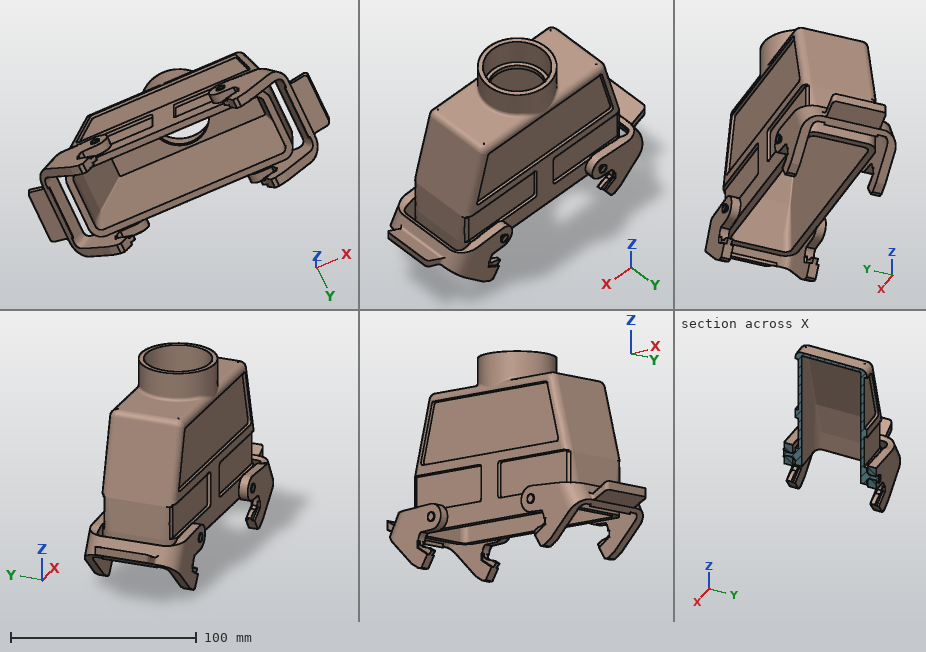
import cadquery as cq
import math

HOOD_WIDTH = 43.0
BASE_HALF_LENGTH = 60.0
SHOULDER_HALF_LENGTH = 58.4
TOP_HALF_LENGTH = 46.3
TAPER_START_Z = 11.5
SHOULDER_Z = 30.3
HOOD_TOP_Z = 75.8
BASE_CORNER_RADIUS = 7.6
UPPER_CORNER_RADIUS = 4.1
TOP_EDGE_RADIUS = 4.1
SIDE_WALL = 4.0
ROOF_WALL = 2.5
MIN_INNER_RADIUS = 0.8

COLLAR_DIAMETER = 42.5
COLLAR_TOP_Z = 91.7
COLLAR_BORE_DIAMETER = 37.0
CABLE_HOLE_DIAMETER = 32.0
COLLAR_BLEND_RADIUS = 1.8

PANEL_DEPTH = 1.6
PANEL_CORNER_RADIUS = 1.6
PANEL_WALL_DRAFT = 14.0
PANEL_BEVEL_X = 55.9
PANEL_BEVEL_DEPTH = 1.6
UPPER_PANEL_TOP_Z = 70.7
UPPER_PANEL_BOTTOM_Z = 36.8
UPPER_PANEL_TOP_HALF = 42.7
UPPER_PANEL_BOTTOM_HALF = 51.6
LOWER_PANEL_TOP_Z = 31.5
LOWER_PANEL_BOTTOM_Z = 11.2
LOWER_PANEL_INNER_X = 6.3

PIVOT_X = 37.1
PIVOT_Z = 6.0
STUD_SPAN = 57.2
STUD_BASE_DIAMETER = 6.0
STUD_BASE_LENGTH = 1.3
SHANK_DIAMETER = 3.0
STUD_HEAD_DIAMETER = 5.1
HEAD_RIM = 0.41
HEAD_CONE = 1.5
HEAD_CHAMFER = 0.25

LEVER_WIDTH = 55.2
LEVER_OFFSET_Y = -0.55
ARM_THICKNESS = 5.3
WEB_THICKNESS = 3.1
BEND_OUTER_RADIUS = 9.7
BEND_INNER_WIDTH = BEND_OUTER_RADIUS - ARM_THICKNESS
BEND_SECTIONS = 7
EYE_RADIUS = 7.1
STRAP_TOP_X = -67.6
STRAP_TOP_Z = 11.5
WEB_FOOT = (-72.7, 2.1)
WEB_RUN = STRAP_TOP_X - WEB_FOOT[0]
WEB_DROP = STRAP_TOP_Z - WEB_FOOT[1]
HEEL = (-52.0, -17.8)
LEVER_BOTTOM_Z = -21.0
HOOK_STEP_DEPTH = 1.3

TAB_END_X = -82.5
TAB_END_TOP_Z = 11.5
TAB_END_BOTTOM_Z = 6.8
TAB_WIDTH = 31.2
TAB_CORNER_RADIUS = 2.0
TAB_ROOT_RADIUS = 1.5
TRIM_HEIGHT = 8.2
STRAP_LENGTH = 66.0

HOOK_ROOT = (-44.7, -1.5)
THROAT_BULGE = (-46.7, -4.6)
THROAT_END = (-46.3, -8.2)
LIP_START = (-44.3, -9.5)
LIP_CREST = (-41.2, -10.2)
LIP_TIP = (-37.8, -12.2)
LIP_BACK = (-40.0, -14.3)
TOE_CORNER = (-44.3, LEVER_BOTTOM_Z)
TOE_HEEL = (-46.8, LEVER_BOTTOM_Z)
STEP_TOP = (-47.6, -6.0)
STEP_CORNER = (-47.6, -9.5)

SIDES = (-1, 1)


def hood_block(inset, roof_z):
    """Tapered hood shape with its sides moved inwards by inset, cut off at roof_z."""
    taper = (SHOULDER_HALF_LENGTH - TOP_HALF_LENGTH) / (HOOD_TOP_Z - SHOULDER_Z)
    roof_half_length = SHOULDER_HALF_LENGTH - taper * (roof_z - SHOULDER_Z)
    levels = [
        (0, BASE_HALF_LENGTH, BASE_CORNER_RADIUS),
        (TAPER_START_Z, BASE_HALF_LENGTH, BASE_CORNER_RADIUS),
        (SHOULDER_Z, SHOULDER_HALF_LENGTH, UPPER_CORNER_RADIUS),
        (roof_z, roof_half_length, UPPER_CORNER_RADIUS),
    ]
    sections = []
    for z, half_length, radius in levels:
        section = (
            cq.Sketch()
            .rect(2 * (half_length - inset), HOOD_WIDTH - 2 * inset)
            .vertices()
            .fillet(max(radius - inset, MIN_INNER_RADIUS))
        )
        sections.append(section.moved(cq.Location(cq.Vector(0, 0, z))))
    return cq.Workplane("XY").placeSketch(*sections).loft(ruled=True)


def cylinder(diameter, bottom_z, top_z):
    """Vertical cylinder on the hood axis."""
    return cq.Workplane("XY", origin=(0, 0, bottom_z)).circle(diameter / 2).extrude(top_z - bottom_z)


def hood_with_collar():
    """Solid hood and collar, blended into each other."""
    block = hood_block(0, HOOD_TOP_Z).faces(">Z").edges().fillet(TOP_EDGE_RADIUS)
    collar_foot_z = HOOD_TOP_Z - TOP_EDGE_RADIUS
    joined = block.union(cylinder(COLLAR_DIAMETER, collar_foot_z, COLLAR_TOP_Z))
    reach = COLLAR_DIAMETER / 2 + COLLAR_BLEND_RADIUS
    around_foot = cq.selectors.BoxSelector(
        (-reach, -reach, collar_foot_z),
        (reach, reach, HOOD_TOP_Z + COLLAR_BLEND_RADIUS),
        boundingbox=True,
    )
    return joined.edges(around_foot).fillet(COLLAR_BLEND_RADIUS)


def side_plane(side):
    """XZ plane on a long side of the hood; extruding by a positive length goes towards -Y."""
    return cq.Workplane("XZ", origin=(0, side * HOOD_WIDTH / 2, 0))


def sink_panel(outline, side):
    """Recess with drafted walls and rounded corners, from an outline on a long side."""
    recess = outline.extrude(side * PANEL_DEPTH, taper=PANEL_WALL_DRAFT)
    return recess.edges("not(<Y or >Y)").fillet(PANEL_CORNER_RADIUS)


def upper_panel(side):
    """Trapezoid recess whose slanted edges follow the end tapers of the hood."""
    outline = [
        (-UPPER_PANEL_BOTTOM_HALF, UPPER_PANEL_BOTTOM_Z),
        (UPPER_PANEL_BOTTOM_HALF, UPPER_PANEL_BOTTOM_Z),
        (UPPER_PANEL_TOP_HALF, UPPER_PANEL_TOP_Z),
        (-UPPER_PANEL_TOP_HALF, UPPER_PANEL_TOP_Z),
    ]
    return sink_panel(side_plane(side).polyline(outline).close(), side)


def lower_panel(side, end):
    """Rectangular recess that runs out through one end of the hood."""
    length = BASE_HALF_LENGTH + 2 * PANEL_CORNER_RADIUS - LOWER_PANEL_INNER_X
    height = LOWER_PANEL_TOP_Z - LOWER_PANEL_BOTTOM_Z
    middle_x = end * (LOWER_PANEL_INNER_X + length / 2)
    middle_z = (LOWER_PANEL_TOP_Z + LOWER_PANEL_BOTTOM_Z) / 2
    return sink_panel(side_plane(side).center(middle_x, middle_z).rect(length, height), side)


def panel_bevel(side, end):
    """Upright wedge that slopes the floor of a lower panel into the hood corner."""
    floor_y = HOOD_WIDTH / 2 - PANEL_DEPTH
    outline = [
        (end * PANEL_BEVEL_X, side * floor_y),
        (end * BASE_HALF_LENGTH, side * floor_y),
        (end * BASE_HALF_LENGTH, side * (floor_y - PANEL_BEVEL_DEPTH)),
    ]
    return (
        cq.Workplane("XY", origin=(0, 0, TAPER_START_Z))
        .polyline(outline)
        .close()
        .extrude(SHOULDER_Z - TAPER_START_Z)
    )


def pivot_stud(end, side):
    """Headed stud that starts inside the hood wall and points outwards."""
    side_y = HOOD_WIDTH / 2
    end_y = STUD_SPAN / 2
    rim_y = end_y - HEAD_RIM
    base_radius = STUD_BASE_DIAMETER / 2
    shank_radius = SHANK_DIAMETER / 2
    head_radius = STUD_HEAD_DIAMETER / 2
    outline = [
        (0, side_y - SIDE_WALL / 2),
        (base_radius, side_y - SIDE_WALL / 2),
        (base_radius, side_y),
        (shank_radius, side_y + STUD_BASE_LENGTH),
        (shank_radius, rim_y - HEAD_CONE),
        (head_radius, rim_y),
        (head_radius, end_y - HEAD_CHAMFER),
        (head_radius - HEAD_CHAMFER, end_y),
        (0, end_y),
    ]
    stud = cq.Workplane("XY").polyline(outline).close().revolve(360, (0, 0, 0), (0, 1, 0))
    if side < 0:
        stud = stud.mirror("XZ")
    return stud.translate((end * PIVOT_X, 0, PIVOT_Z))


def build_hood():
    """Hollow hood with its collar, panels and pivot studs."""
    roof_inside_z = HOOD_TOP_Z - ROOF_WALL
    hood = hood_with_collar()
    hood = hood.cut(hood_block(SIDE_WALL, roof_inside_z))
    hood = hood.cut(cylinder(CABLE_HOLE_DIAMETER, roof_inside_z - ROOF_WALL, COLLAR_TOP_Z))
    hood = hood.cut(cylinder(COLLAR_BORE_DIAMETER, HOOD_TOP_Z, COLLAR_TOP_Z))
    for side in SIDES:
        hood = hood.cut(upper_panel(side))
        for end in SIDES:
            hood = hood.cut(lower_panel(side, end)).cut(panel_bevel(side, end))
            hood = hood.union(pivot_stud(end, side))
    return hood


def eye_top_point():
    """Point where the straight top of the arm touches the eye, and the rise angle of that top."""
    eye_dx = -PIVOT_X - STRAP_TOP_X
    eye_dz = PIVOT_Z - STRAP_TOP_Z
    rise = math.atan2(eye_dz, eye_dx) + math.asin(EYE_RADIUS / math.hypot(eye_dx, eye_dz))
    point = (-PIVOT_X - EYE_RADIUS * math.sin(rise), PIVOT_Z + EYE_RADIUS * math.cos(rise))
    return point, rise


def strap_plane():
    """Plane square to the web: x runs inwards from its outer face, the normal runs down the web."""
    down_web = cq.Vector(-WEB_RUN, 0, -WEB_DROP)
    return cq.Plane(
        origin=(STRAP_TOP_X, 0, STRAP_TOP_Z),
        xDir=(WEB_DROP, 0, -WEB_RUN),
        normal=down_web,
    )


def top_rise(across):
    """Height of the arm top above the top edge of the web, measured along the web."""
    return across * math.tan(math.atan2(WEB_RUN, WEB_DROP) + eye_top_point()[1])


def lever_profile():
    """Trimming block: the side outline of the lever, left too high over the tab, web and bends."""
    eye_top = eye_top_point()[0]
    plane = strap_plane()
    web_high = plane.toWorldCoords((0, 0, -TRIM_HEIGHT))
    bend_high = plane.toWorldCoords((BEND_OUTER_RADIUS, 0, -TRIM_HEIGHT))
    bend_top = plane.toWorldCoords((BEND_OUTER_RADIUS, 0, -top_rise(BEND_OUTER_RADIUS)))
    return (
        cq.Workplane("XZ")
        .moveTo(web_high.x, web_high.z)
        .lineTo(bend_high.x, bend_high.z)
        .lineTo(bend_top.x, bend_top.z)
        .lineTo(*eye_top)
        .threePointArc((-PIVOT_X + EYE_RADIUS, PIVOT_Z), (-PIVOT_X, PIVOT_Z - EYE_RADIUS))
        .lineTo(*HOOK_ROOT)
        .threePointArc(THROAT_BULGE, THROAT_END)
        .lineTo(*LIP_START)
        .lineTo(*LIP_CREST)
        .lineTo(*LIP_TIP)
        .lineTo(*LIP_BACK)
        .lineTo(*TOE_CORNER)
        .lineTo(*TOE_HEEL)
        .lineTo(*HEEL)
        .lineTo(*WEB_FOOT)
        .lineTo(TAB_END_X, TAB_END_BOTTOM_Z)
        .lineTo(TAB_END_X, web_high.z)
        .close()
        .extrude(LEVER_WIDTH / 2, both=True)
    )


def lever_strap():
    """U-shaped strap that runs parallel to the slanted web."""
    half_width = LEVER_WIDTH / 2
    inner_half = half_width - ARM_THICKNESS
    flat_half = half_width - BEND_OUTER_RADIUS
    outer = (
        cq.Workplane(strap_plane())
        .moveTo(STRAP_LENGTH, -half_width)
        .lineTo(BEND_OUTER_RADIUS, -half_width)
        .radiusArc((0, -flat_half), BEND_OUTER_RADIUS)
        .lineTo(0, flat_half)
        .radiusArc((BEND_OUTER_RADIUS, half_width), BEND_OUTER_RADIUS)
        .lineTo(STRAP_LENGTH, half_width)
        .close()
        .extrude(STRAP_LENGTH, both=True)
    )
    inner = (
        cq.Workplane(strap_plane())
        .moveTo(STRAP_LENGTH, -inner_half)
        .lineTo(BEND_OUTER_RADIUS, -inner_half)
        .spline([(WEB_THICKNESS, -flat_half)], tangents=[(-1, 0), (0, 1)], includeCurrent=True)
        .lineTo(WEB_THICKNESS, flat_half)
        .spline([(BEND_OUTER_RADIUS, inner_half)], tangents=[(0, 1), (1, 0)], includeCurrent=True)
        .lineTo(STRAP_LENGTH, inner_half)
        .close()
        .extrude(STRAP_LENGTH, both=True)
    )
    return outer.cut(inner)


def web_trim():
    """Block above the web, which ends square to its faces."""
    flat_width = LEVER_WIDTH - 2 * BEND_OUTER_RADIUS
    return (
        cq.Workplane(strap_plane())
        .rect(2 * BEND_OUTER_RADIUS, flat_width)
        .extrude(-2 * TRIM_HEIGHT)
    )


def bend_trim(side):
    """Block above one bend; its underside turns from the web top to the arm top."""
    plane = strap_plane()
    centre_y = side * (LEVER_WIDTH / 2 - BEND_OUTER_RADIUS)
    near = BEND_INNER_WIDTH / 2
    far = BEND_OUTER_RADIUS + BEND_INNER_WIDTH
    wires = []
    for step in range(BEND_SECTIONS):
        angle = math.pi / 2 * step / (BEND_SECTIONS - 1)
        rise = top_rise(BEND_OUTER_RADIUS * (1 - math.cos(angle)))
        corners = []
        for radius, height in [(near, rise), (far, rise), (far, 2 * TRIM_HEIGHT), (near, 2 * TRIM_HEIGHT)]:
            across = BEND_OUTER_RADIUS - radius * math.cos(angle)
            sideways = centre_y + side * radius * math.sin(angle)
            corners.append(plane.toWorldCoords((across, sideways, -height)))
        wires.append(cq.Wire.makePolygon(corners, close=True))
    return cq.Workplane(cq.Solid.makeLoft(wires))


def finger_tab():
    """Tab square to the web and sunk into its thickness, still too deep on its underside."""
    slope = WEB_RUN / WEB_DROP
    sink_x = WEB_FOOT[0] + WEB_THICKNESS
    sink_z = TAB_END_TOP_Z - slope * (sink_x - TAB_END_X)
    side_view = [
        (TAB_END_X, TAB_END_TOP_Z),
        (sink_x, sink_z),
        (sink_x, sink_z - TRIM_HEIGHT),
        (TAB_END_X, TAB_END_TOP_Z - TRIM_HEIGHT),
    ]
    tab = cq.Workplane("XZ").polyline(side_view).close().extrude(TAB_WIDTH / 2, both=True)
    return tab.edges("|Z and <X").fillet(TAB_CORNER_RADIUS)


def strap_with_tab():
    """Strap and tab, with the top and side edges of their joint rounded."""
    joined = lever_strap().union(finger_tab())
    reach_y = TAB_WIDTH / 2 + TAB_ROOT_RADIUS
    joint = cq.selectors.BoxSelector(
        (WEB_FOOT[0] - WEB_THICKNESS, -reach_y, WEB_FOOT[1] - TAB_ROOT_RADIUS),
        (WEB_FOOT[0] + WEB_THICKNESS, reach_y, TAB_END_BOTTOM_Z),
    )
    return joined.edges(joint).fillet(TAB_ROOT_RADIUS)


def hook_steps():
    """Thin cuts in both faces of each hook, leaving a thinner lip between two ledges."""
    outline = [STEP_TOP, STEP_CORNER, LIP_BACK, LIP_TIP, (LIP_TIP[0], STEP_TOP[1])]
    outer_y = LEVER_WIDTH / 2
    inner_y = outer_y - ARM_THICKNESS + HOOK_STEP_DEPTH
    steps = []
    for face_y in (outer_y, inner_y, HOOK_STEP_DEPTH - outer_y, HOOK_STEP_DEPTH - inner_y):
        cut = cq.Workplane("XZ", origin=(0, face_y, 0)).polyline(outline).close().extrude(HOOK_STEP_DEPTH)
        steps.append(cut)
    return steps


def build_lever(end):
    """Lever on the -X end, or its mirror image on the +X end."""
    lever = strap_with_tab().intersect(lever_profile()).cut(web_trim())
    for side in SIDES:
        lever = lever.cut(bend_trim(side))
    for step in hook_steps():
        lever = lever.cut(step)
    lever = lever.translate((0, LEVER_OFFSET_Y, 0))
    for side in SIDES:
        lever = lever.cut(pivot_stud(-1, side))
    if end > 0:
        lever = lever.mirror("YZ")
    return lever


hood = build_hood()
levers = [build_lever(end) for end in SIDES]
result = cq.Compound.makeCompound([hood.val(), *[lever.val() for lever in levers]])